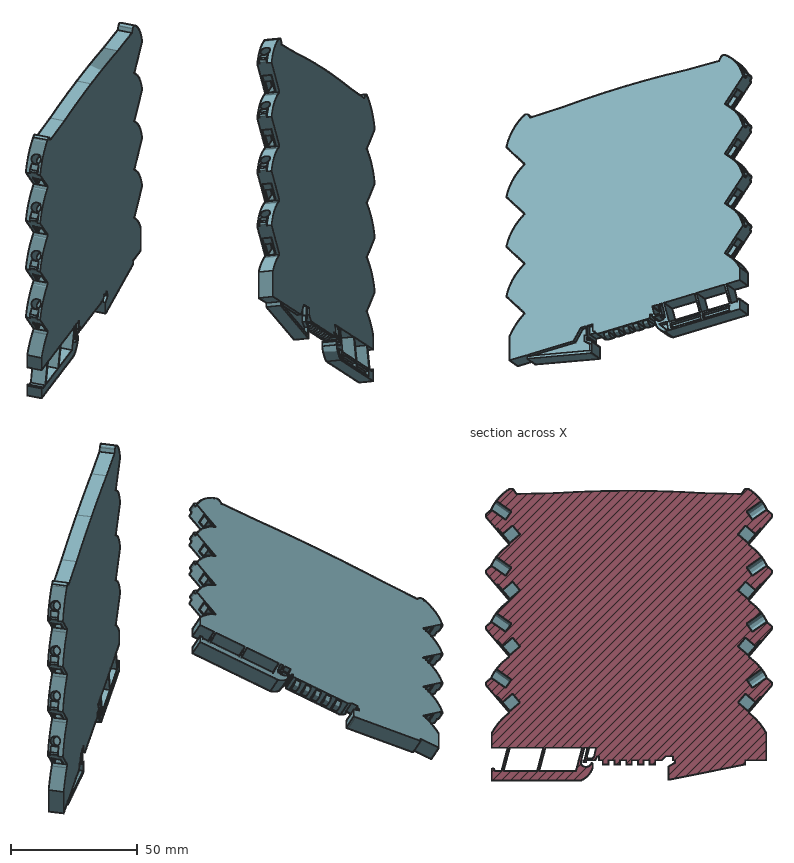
import cadquery as cq
import math

THICKNESS = 6.1
DEPTH_OVER_LATCHES = 113.0
HEIGHT = 115.0
HALF_DEPTH_BASE = 54.2
TOOTH_PITCH = 22.1
TERMINAL_LEVELS = 4
TOP_NOTCH_Z = 115.1
BASE_NOTCH_Z = TOP_NOTCH_Z - TERMINAL_LEVELS * TOOTH_PITCH
UNDERSIDE_Z = 12.9
LOWER_EDGE_Z = 7.9
SIDE_RECESS = 1.5
REAR_SLOPE_FOOT = (24.0, LOWER_EDGE_Z)
REAR_SLOPE_HEAD = (20.6, UNDERSIDE_Z)
LEFT_FACE = -THICKNESS / 2

NOTCH_Y = 47.2
FLANK_START = (48.1, 0.8)
FLANK_MID = (52.9, 5.9)
FLANK_END = (55.7, 12.2)
BASE_FLANK_MID = (51.5, 4.3)
BASE_FLANK_END = (HALF_DEPTH_BASE, 8.3)

TOP_FLAT_Y = 44.4
TOP_FLAT_Z = 112.9
TOP_BOW_END = (29.1, 113.3)
TOP_BOW_MID = (14.6, 114.0)
TOP_CENTRE_Z = 114.2
BUMP_START = (45.3, 114.4)
BUMP_PEAK_Y = 46.3
BUMP_END = (47.5, 114.5)

TERMINAL_X = 0.5
LATCH_WIDTH = 3.1
LATCH_ROOT_Y = 53.6
LATCH_UNDERSIDE_Y = 56.1
SCREW_DIAMETER = 3.9
SCREW_DROP = 6.8
SCREW_SURFACE_Y = 53.1
SCREW_TILT = 35.0
SCREW_DEPTH = 6.9

ENTRY_START = 5.4
ENTRY_END = 12.8
ENTRY_WIDTH = 3.9
ENTRY_DEPTH = 0.6
BORE_START = 8.3
BORE_END = 12.8
BORE_WIDTH = 2.8
BORE_DEPTH = 5.8

CONTACT_COUNT = 5
CONTACT_PITCH = 4.6
CONTACT_LENGTH = 2.3
CONTACT_RADIUS = 2.5
CONTACT_BOTTOM_Z = 6.2

RAIL_TOP_Z = 3.8
RIB_LEAN = 2.4
RIB_WIDTH = 0.9
RIB_TOPS_Y = (-32.9, -46.9)
POCKET_TOP_Z = 2.9
POCKET_BOTTOM_Z = 0.8


def plate(points, depth=THICKNESS, start=LEFT_FACE):
    """Extrude a closed (Y, Z) polygon along +X from the given X."""
    return cq.Workplane("YZ", origin=(start, 0, 0)).polyline(points).close().extrude(depth)


def mirrored(half):
    return half.union(half.mirror("XZ"))


def flank_point(point, notch_z):
    """Turn (Y, drop) into (Y, Z) for the tooth below the given notch apex."""
    return (point[0], notch_z - point[1])


def housing_half():
    """+Y half of the toothed housing, down to its underside."""
    outline = (
        cq.Workplane("YZ", origin=(LEFT_FACE, 0, 0))
        .moveTo(0, UNDERSIDE_Z)
        .lineTo(0, TOP_CENTRE_Z)
        .threePointArc(TOP_BOW_MID, TOP_BOW_END)
        .lineTo(TOP_FLAT_Y, TOP_FLAT_Z)
        .lineTo(*BUMP_START)
        .threePointArc((BUMP_PEAK_Y, HEIGHT), BUMP_END)
    )
    for level in range(TERMINAL_LEVELS):
        notch_z = TOP_NOTCH_Z - level * TOOTH_PITCH
        outline = (
            outline.lineTo(*flank_point(FLANK_START, notch_z))
            .threePointArc(flank_point(FLANK_MID, notch_z), flank_point(FLANK_END, notch_z))
            .lineTo(NOTCH_Y, notch_z - TOOTH_PITCH)
        )
    return (
        outline.lineTo(*flank_point(FLANK_START, BASE_NOTCH_Z))
        .threePointArc(flank_point(BASE_FLANK_MID, BASE_NOTCH_Z), flank_point(BASE_FLANK_END, BASE_NOTCH_Z))
        .lineTo(HALF_DEPTH_BASE, UNDERSIDE_Z)
        .close()
        .extrude(THICKNESS)
    )


def latch(notch_z):
    """Wedge-shaped clamp lug at the tooth tip, its underside flush with the undercut."""
    steepness = (TOOTH_PITCH - FLANK_END[1]) / (FLANK_END[0] - NOTCH_Y)
    flush_drop = FLANK_END[1] - (LATCH_UNDERSIDE_Y - FLANK_END[0]) * steepness
    profile = [
        (LATCH_ROOT_Y, 7.8),
        (56.2, 10.1),
        (DEPTH_OVER_LATCHES / 2, 10.9),
        (LATCH_UNDERSIDE_Y, flush_drop),
        FLANK_END,
        (LATCH_ROOT_Y, FLANK_END[1]),
    ]
    points = [flank_point(point, notch_z) for point in profile]
    return plate(points, LATCH_WIDTH, TERMINAL_X - LATCH_WIDTH / 2)


def screw_hole(notch_z):
    """Blind screwdriver hole entering the flank downwards."""
    tilt = math.radians(SCREW_TILT)
    outward = cq.Vector(0, math.cos(tilt), math.sin(tilt))
    mouth = cq.Vector(TERMINAL_X, SCREW_SURFACE_Y, notch_z - SCREW_DROP)
    bottom = mouth - outward * SCREW_DEPTH
    length = 2 * SCREW_DEPTH
    return cq.Workplane(cq.Solid.makeCylinder(SCREW_DIAMETER / 2, length, bottom, outward))


def undercut_pocket(notch_z, start, end, width, depth):
    """Rectangular pocket sunk square into the undercut below the tooth tip."""
    run_y = NOTCH_Y - FLANK_END[0]
    run_z = FLANK_END[1] - TOOTH_PITCH
    fraction = (start + end) / 2 / math.hypot(run_y, run_z)
    centre = (
        TERMINAL_X,
        FLANK_END[0] + fraction * run_y,
        notch_z - FLANK_END[1] + fraction * run_z,
    )
    into_body = cq.Plane(origin=centre, xDir=(1, 0, 0), normal=(0, run_z, -run_y))
    return cq.Workplane(into_body).rect(width, end - start).extrude(depth)


def wire_entry(notch_z):
    """Shallow wide mouth with a narrower, deeper wire bore."""
    mouth = undercut_pocket(notch_z, ENTRY_START, ENTRY_END, ENTRY_WIDTH, ENTRY_DEPTH)
    bore = undercut_pocket(notch_z, BORE_START, BORE_END, BORE_WIDTH, BORE_DEPTH)
    return mouth.union(bore)


def toothed_housing():
    half = housing_half()
    for level in range(TERMINAL_LEVELS):
        notch_z = TOP_NOTCH_Z - level * TOOTH_PITCH
        half = half.union(latch(notch_z)).cut(screw_hole(notch_z)).cut(wire_entry(notch_z))
    return mirrored(half)


def lower_housing():
    """Two deeper portions of the housing and the thin web between them."""
    rear = plate([
        (HALF_DEPTH_BASE, UNDERSIDE_Z),
        (HALF_DEPTH_BASE, LOWER_EDGE_Z),
        REAR_SLOPE_FOOT,
        REAR_SLOPE_HEAD,
    ])
    middle = plate([
        (15.1, UNDERSIDE_Z),
        (15.1, 10.1),
        (12.9, LOWER_EDGE_Z),
        (-11.8, LOWER_EDGE_Z),
        (-11.8, 9.5),
        (-12.6, 9.5),
        (-13.1, UNDERSIDE_Z),
    ])
    web = plate(
        [(17.6, UNDERSIDE_Z), (17.6, 9.5), (14.5, 9.5), (14.5, UNDERSIDE_Z)],
        THICKNESS - SIDE_RECESS,
        LEFT_FACE + SIDE_RECESS,
    )
    return rear.union(middle).union(web)


def fixed_foot():
    """Sloping rail foot on the +Y side with a rim around its relieved -X face."""
    body = plate([
        (45.9, LOWER_EDGE_Z), (45.9, 6.3), (16.2, 0.3), (15.5, 0.3), (15.5, 5.5), (18.0, 7.0),
        (18.0, 7.9), (17.2, 7.9), (17.2, UNDERSIDE_Z), REAR_SLOPE_HEAD, REAR_SLOPE_FOOT,
    ])
    relief = plate(
        [
            (45.3, LOWER_EDGE_Z), (45.3, 7.4), (16.5, 1.6), (16.5, 4.8), (18.9, 6.4), (18.9, 9.0),
            (18.0, 9.0), (18.0, UNDERSIDE_Z), REAR_SLOPE_HEAD, REAR_SLOPE_FOOT,
        ],
        SIDE_RECESS,
    )
    return body.cut(relief)


def contacts():
    """Round-bottomed rail contacts under the middle of the housing."""
    centre_z = CONTACT_BOTTOM_Z + CONTACT_RADIUS
    row = cq.Workplane()
    for index in range(CONTACT_COUNT):
        start_y = (index - (CONTACT_COUNT - 1) / 2) * CONTACT_PITCH - CONTACT_LENGTH / 2
        base = cq.Workplane("XZ", origin=(0, start_y, centre_z))
        row = row.union(base.circle(CONTACT_RADIUS).extrude(-CONTACT_LENGTH))
    return row


def spring_stop():
    """Small framed stop beside the spring foot."""
    frame = plate([
        (-12.5, UNDERSIDE_Z), (-12.5, 9.5), (-13.2, LOWER_EDGE_Z), (-16.8, LOWER_EDGE_Z), (-16.8, 7.1),
        (-18.0, 7.1), (-18.0, 7.7), (-17.6, 7.9), (-16.5, UNDERSIDE_Z),
    ])
    window = plate([
        (-13.0, UNDERSIDE_Z), (-13.8, 9.4), (-14.4, 8.7), (-16.5, 8.7), (-16.5, 9.9), (-15.6, UNDERSIDE_Z),
    ])
    return frame.cut(window)


def rib(top_y):
    """Leaning rib joining the housing underside to the foot rail."""
    return plate([
        (top_y, UNDERSIDE_Z),
        (top_y - RIB_WIDTH, UNDERSIDE_Z),
        (top_y - RIB_WIDTH - RIB_LEAN, RAIL_TOP_Z),
        (top_y - RIB_LEAN, RAIL_TOP_Z),
    ])


def spring_foot():
    """Sprung rail foot on the -Y side: hooked nose, rail and leaning ribs."""
    nose_and_rail = (
        cq.Workplane("YZ", origin=(LEFT_FACE, 0, 0))
        .moveTo(-17.6, UNDERSIDE_Z)
        .lineTo(-18.9, 7.5)
        .lineTo(-18.9, 6.4)
        .threePointArc((-17.0, 5.4), (-14.7, 7.0))
        .lineTo(-14.3, 6.5)
        .lineTo(-14.3, 5.1)
        .threePointArc((-16.0, 2.1), (-18.9, 0))
        .lineTo(-HALF_DEPTH_BASE, 0)
        .lineTo(-HALF_DEPTH_BASE, 4.5)
        .lineTo(-53.7, 4.8)
        .lineTo(-53.1, 4.6)
        .lineTo(-52.8, RAIL_TOP_Z)
        .lineTo(-20.9, RAIL_TOP_Z)
        .lineTo(-18.5, UNDERSIDE_Z)
        .close()
        .extrude(THICKNESS)
    )
    foot = nose_and_rail
    for top_y in RIB_TOPS_Y:
        foot = foot.union(rib(top_y))
    pockets = (
        [(-16.2, 4.1), (-19.9, 4.1), (-20.5, 0.7), (-19.5, 0.7)],
        [(-21.4, POCKET_TOP_Z), (-35.4, POCKET_TOP_Z), (-35.9, POCKET_BOTTOM_Z), (-21.8, POCKET_BOTTOM_Z)],
        [(-36.5, POCKET_TOP_Z), (-49.2, POCKET_TOP_Z), (-49.2, POCKET_BOTTOM_Z), (-36.9, POCKET_BOTTOM_Z)],
    )
    for outline in pockets:
        foot = foot.cut(plate(outline, SIDE_RECESS))
    return foot


result = (
    toothed_housing()
    .union(lower_housing())
    .union(fixed_foot())
    .union(contacts())
    .union(spring_stop())
    .union(spring_foot())
)